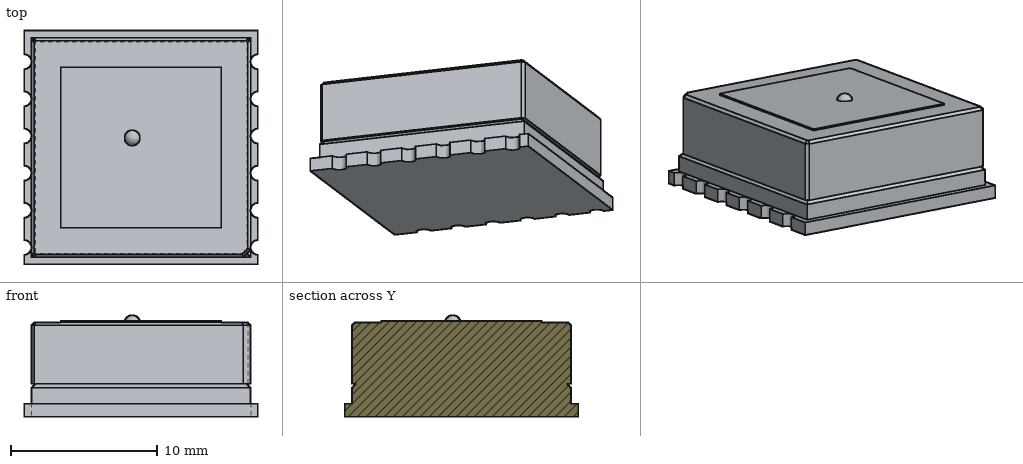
import cadquery as cq

BOARD_SIDE = 16.0
BOARD_THICKNESS = 0.9
CONTACT_RADIUS = 0.5
CONTACT_PITCH = 2.54
CONTACTS_PER_SIDE = 6
CONTACT_ROW_CENTER_Y = -0.49

CAN_SIDE = 15.0
CAN_RIM_BEVEL = 0.27
CAN_TOP_Z = 2.25

BLOCK_SIDE = CAN_SIDE
BLOCK_TOP_Z = 6.45
BLOCK_BEVEL = 0.2
KEYED_CORNER_BEVEL = 0.5

PATCH_SIDE = 11.0
PATCH_THICKNESS = 0.1
PATCH_TOP_Z = BLOCK_TOP_Z + PATCH_THICKNESS
TOTAL_HEIGHT = 6.95
DOME_RADIUS = 0.55
DOME_X = -0.6
DOME_Y = 0.65


def square_slab(side, bottom_z, top_z):
    """Square slab centred on the Z axis between two heights."""
    return cq.Workplane("XY").workplane(offset=bottom_z).rect(side, side).extrude(top_z - bottom_z)


def make_board():
    """Board with a row of half-round notches along both X edges."""
    first_contact_y = CONTACT_ROW_CENTER_Y - CONTACT_PITCH * (CONTACTS_PER_SIDE - 1) / 2
    notch_centers = [
        (edge_x, first_contact_y + i * CONTACT_PITCH)
        for edge_x in (-BOARD_SIDE / 2, BOARD_SIDE / 2)
        for i in range(CONTACTS_PER_SIDE)
    ]
    notches = cq.Workplane("XY").pushPoints(notch_centers).circle(CONTACT_RADIUS).extrude(BOARD_THICKNESS)
    return square_slab(BOARD_SIDE, 0, BOARD_THICKNESS).cut(notches)


def make_can():
    """Shield can whose upper rim is bevelled under the block."""
    return square_slab(CAN_SIDE, BOARD_THICKNESS, CAN_TOP_Z).faces(">Z").chamfer(CAN_RIM_BEVEL)


def make_block():
    """Antenna block with bevelled edges and a larger bevel on the +X -Y corner."""
    block = square_slab(BLOCK_SIDE, CAN_TOP_Z, BLOCK_TOP_Z)
    block = block.edges("|Z and (<X or >Y)").chamfer(BLOCK_BEVEL)
    block = block.edges(cq.selectors.DirectionMinMaxSelector(cq.Vector(1, -1, 0))).chamfer(KEYED_CORNER_BEVEL)
    return block.faces(">Z").chamfer(BLOCK_BEVEL)


def make_patch():
    """Thin square antenna patch on top of the block."""
    return square_slab(PATCH_SIDE, BLOCK_TOP_Z, PATCH_TOP_Z)


def make_solder_dome():
    """Solder dome at the feed point: a ball whose visible cap stands on the patch."""
    return cq.Workplane("XY").sphere(DOME_RADIUS).translate((DOME_X, DOME_Y, TOTAL_HEIGHT - DOME_RADIUS))


result = make_board().union(make_can()).union(make_block()).union(make_patch()).union(make_solder_dome())